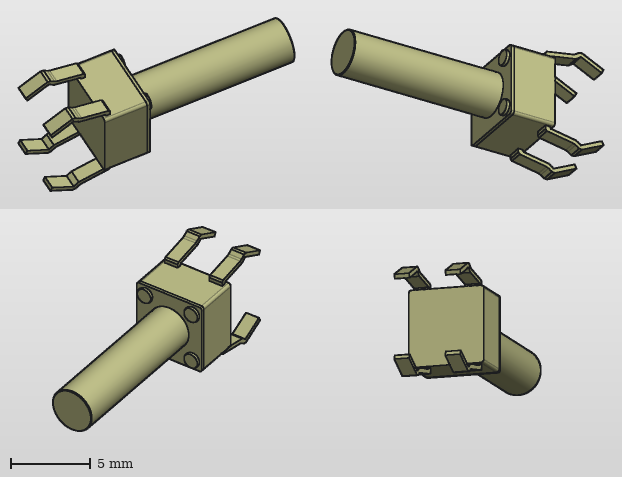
import cadquery as cq
import math

LENGTH = 17.72
HEIGHT = 7.0

SIDE = 5.0
CORNER_RADIUS = 0.2
HOUSING_DEPTH = 3.0
LID_THICKNESS = 0.21
LID_BACK = HOUSING_DEPTH + LID_THICKNESS

PLUNGER_DIAMETER = 3.0
PLUNGER_CHAMFER = 0.05
PLUNGER_END = 14.02

PEG_DIAMETER = 1.08
PEG_END_DIAMETER = 1.03
PEG_HEIGHT = 0.21
PEG_OFFSET = 1.79
PEG_CORNERS = [(-1, 1), (1, 1), (-1, -1)]

LEG_WIDTH = 1.0
LEG_THICKNESS = 0.3
LEG_OFFSET = 1.7
LEG_BACK = 0.53
ROOT_HEIGHT = 0.37
FOOT_ANGLE = 10.0
KNEE_Y = -1.58
STEEP_ANGLE = 35.0
TIP_ANGLE = 26.0
ROOT_CHAMFER = 0.1
KNEE_CHAMFER = 0.09
CREST_CHAMFER = 0.12


def rounded_block(y_start, depth):
    """Square block of the housing section, extending along +Y from y_start."""
    return (
        cq.Workplane("XY")
        .box(SIDE, depth, SIDE)
        .translate((0, y_start + depth / 2, 0))
        .edges("|Y")
        .fillet(CORNER_RADIUS)
    )


def make_plunger():
    """Round rod with a chamfered free end."""
    length = PLUNGER_END - LID_BACK
    start = cq.Vector(0, LID_BACK, 0)
    rod = cq.Solid.makeCylinder(PLUNGER_DIAMETER / 2, length, start, cq.Vector(0, 1, 0))
    return cq.Workplane(rod).faces(">Y").chamfer(PLUNGER_CHAMFER)


def make_peg():
    """Short peg with a bulging side, standing on the lid around the Y axis."""
    peg_end = LID_BACK + PEG_HEIGHT
    return (
        cq.Workplane("XY")
        .moveTo(0, LID_BACK)
        .lineTo(PEG_END_DIAMETER / 2, LID_BACK)
        .threePointArc((PEG_DIAMETER / 2, LID_BACK + PEG_HEIGHT / 2), (PEG_END_DIAMETER / 2, peg_end))
        .lineTo(0, peg_end)
        .close()
        .revolve(360, (0, 0, 0), (0, 1, 0))
    )


def leg_headings():
    """Direction of each straight stretch of the leg, in degrees from -Y towards +Z."""
    return [90.0, FOOT_ANGLE, STEEP_ANGLE, -TIP_ANGLE]


def outer_leg_points():
    """Sharp corners (y, z) of the outer leg face: start, root, knee, crest, tip."""
    def tangent(angle):
        return math.tan(math.radians(angle))

    root_z = SIDE / 2 + ROOT_HEIGHT
    knee_z = root_z + (LEG_BACK - KNEE_Y) * tangent(FOOT_ANGLE)

    crest_z = HEIGHT / 2 + CREST_CHAMFER * math.sin(math.radians(TIP_ANGLE))
    crest_y = KNEE_Y - (crest_z - knee_z) / tangent(STEEP_ANGLE)

    tip_y = PLUNGER_END - LENGTH
    tip_z = crest_z - (crest_y - tip_y) * tangent(TIP_ANGLE)
    return [
        (LEG_BACK, SIDE / 2),
        (LEG_BACK, root_z),
        (KNEE_Y, knee_z),
        (crest_y, crest_z),
        (tip_y, tip_z),
    ]


def inner_leg_points(outer):
    """Corners of the inner leg face, one leg thickness inside the outer face."""
    headings = leg_headings()
    before = headings[:1] + headings
    after = headings + headings[-1:]
    inner = []
    for (y, z), angle_in, angle_out in zip(outer, before, after):
        bisector = math.radians((angle_in + angle_out) / 2)
        reach = LEG_THICKNESS / math.cos(math.radians((angle_out - angle_in) / 2))
        inner.append((y - reach * math.sin(bisector), z - reach * math.cos(bisector)))
    return inner


def make_leg():
    """Leg on the top of the housing, centred on X = 0."""
    outer = outer_leg_points()
    inner = inner_leg_points(outer)
    leg = (
        cq.Workplane("YZ")
        .polyline(outer + inner[::-1])
        .close()
        .extrude(LEG_WIDTH / 2, both=True)
    )
    _, outer_root, outer_knee, outer_crest, _ = outer
    inner_root = inner[1]
    bends = [
        (outer_root, ROOT_CHAMFER),
        (inner_root, ROOT_CHAMFER),
        (outer_knee, KNEE_CHAMFER),
        (outer_crest, CREST_CHAMFER),
    ]
    for (y, z), cut in bends:
        leg = leg.edges(cq.selectors.NearestToPointSelector((0, y, z))).chamfer(cut)
    return leg


housing = rounded_block(0, HOUSING_DEPTH)
lid = rounded_block(HOUSING_DEPTH, LID_THICKNESS)
plunger = make_plunger()

pegs = []
peg = make_peg()
for x_side, z_side in PEG_CORNERS:
    pegs.append(peg.translate((x_side * PEG_OFFSET, 0, z_side * PEG_OFFSET)).val())

legs = []
top_leg = make_leg()
bottom_leg = top_leg.mirror("XY")
for x_side in (-1, 1):
    for leg in (top_leg, bottom_leg):
        legs.append(leg.translate((x_side * LEG_OFFSET, 0, 0)).val())

result = cq.Compound.makeCompound([housing.val(), lid.val(), plunger.val(), *pegs, *legs])